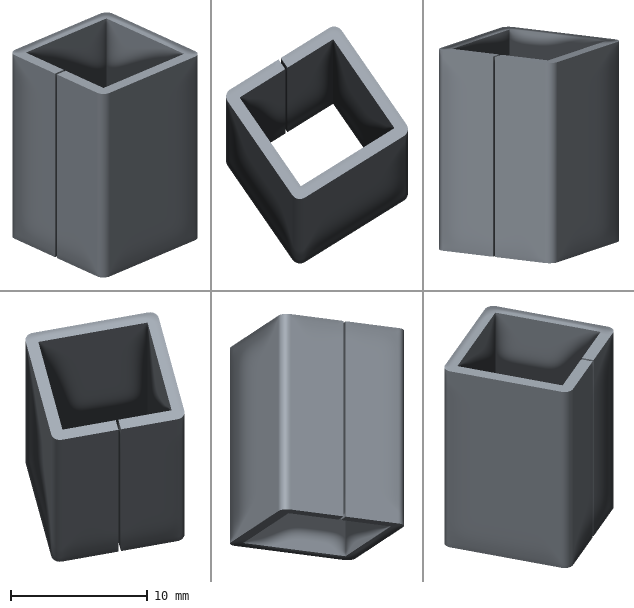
import cadquery as cq

length = 15.0
side = 10.0
wall = 0.9
corner_radius = 0.66
slit_width = 0.2

bore_side = side - 2 * wall

outer = cq.Workplane("XY").rect(side, side).extrude(length).edges("|Z").fillet(corner_radius)

bore = cq.Workplane("XY").rect(bore_side, bore_side).extrude(length)

slit = (
    cq.Workplane("XY")
    .center(0, -(side - wall) / 2)
    .rect(slit_width, wall)
    .extrude(length)
)

result = outer.cut(bore).cut(slit)